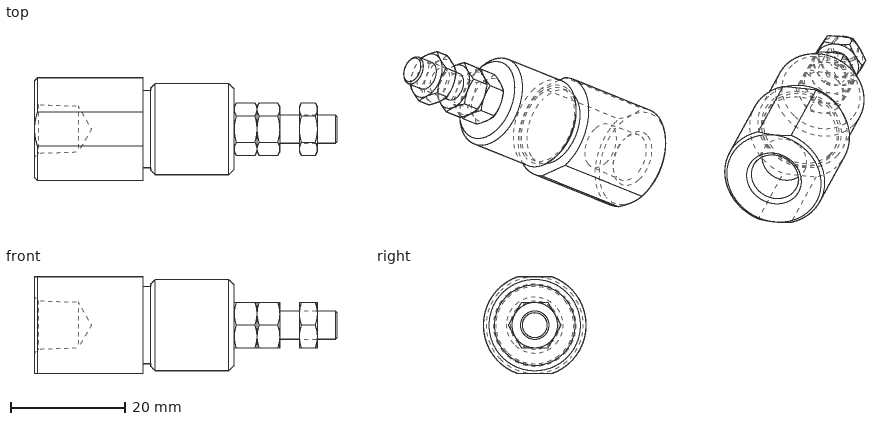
import cadquery as cq
import math

total_length = 53.0

head_diameter = 18.0
head_flats = 17.0
head_length = 19.05
head_chamfer = 0.55
bore_diameter = 8.5
bore_taper = 1 / 16
bore_mouth_diameter = 9.85
bore_mouth_depth = (bore_mouth_diameter - bore_diameter) / 2
bore_depth = 7.7
drill_point_angle = 120.0

neck_diameter = 13.55
neck_length = 1.3
barrel_diameter = 16.0
barrel_length = 14.65
barrel_front_chamfer = 0.8
barrel_rear_chamfer = 0.95

stud_diameter = 5.0
stud_chamfer = 0.3
hex_sides = 6
hex_across_flats = 8.0
hex_face_diameter = 7.95
hex_chamfer_angle = 30.0
collars_length = 8.0
collar_count = 2
collar_length = collars_length / collar_count
nut_gap = 3.4
nut_length = 3.2

barrel_start = head_length + neck_length
barrel_end = barrel_start + barrel_length
collars_end = barrel_end + collars_length
nut_start = collars_end + nut_gap


def cylinder_x(start, length, diameter):
    """Cylinder along X."""
    return cq.Workplane("YZ", origin=(start, 0, 0)).circle(diameter / 2).extrude(length)


def revolve_x(points):
    """Solid of revolution about X from (x, radius) points."""
    return cq.Workplane("XY").polyline(points).close().revolve(360, (0, 0, 0), (1, 0, 0))


def chamfered_hexagon(start, length):
    """Hexagonal prism along X, flats facing +Z and -Z, corners turned off at both ends."""
    corner_diameter = hex_across_flats / math.cos(math.pi / hex_sides)
    prism = cq.Workplane("YZ", origin=(start, 0, 0)).polygon(hex_sides, corner_diameter).extrude(length)
    face_radius = hex_face_diameter / 2
    outer_radius = corner_diameter / 2
    setback = (outer_radius - face_radius) * math.tan(math.radians(hex_chamfer_angle))
    end = start + length
    envelope = revolve_x([
        (start, 0),
        (start, face_radius),
        (start + setback, outer_radius),
        (end - setback, outer_radius),
        (end, face_radius),
        (end, 0),
    ])
    return prism.intersect(envelope)


def make_head():
    head = cylinder_x(0, head_length, head_diameter).faces("<X").chamfer(head_chamfer)
    flats = cq.Workplane("XY").box(2 * head_length, 2 * head_diameter, head_flats)
    return head.intersect(flats)


def make_bore():
    """Blind bore, narrowing inwards, with a chamfered mouth and a conical drill point."""
    bore_end_radius = (bore_diameter - bore_taper * (bore_depth - bore_mouth_depth)) / 2
    point_depth = bore_end_radius / math.tan(math.radians(drill_point_angle / 2))
    return revolve_x([
        (0, 0),
        (0, bore_mouth_diameter / 2),
        (bore_mouth_depth, bore_diameter / 2),
        (bore_depth, bore_end_radius),
        (bore_depth + point_depth, 0),
    ])


def make_barrel():
    barrel = cylinder_x(barrel_start, barrel_length, barrel_diameter)
    return barrel.faces("<X").chamfer(barrel_front_chamfer).faces(">X").chamfer(barrel_rear_chamfer)


def make_joint():
    """Head, neck, barrel, collars and stud in one piece."""
    neck = cylinder_x(head_length, neck_length, neck_diameter)
    stud = cylinder_x(barrel_end, total_length - barrel_end, stud_diameter)
    stud = stud.faces(">X").chamfer(stud_chamfer)
    joint = make_head().union(neck).union(make_barrel()).union(stud)
    for i in range(collar_count):
        joint = joint.union(chamfered_hexagon(barrel_end + i * collar_length, collar_length))
    return joint.cut(make_bore())


def make_nut():
    """Hexagon nut that fits closely on the stud."""
    nut_hole = cylinder_x(nut_start, nut_length, stud_diameter)
    return chamfered_hexagon(nut_start, nut_length).cut(nut_hole)


joint = make_joint()
nut = make_nut()

result = cq.Compound.makeCompound([joint.val(), nut.val()])